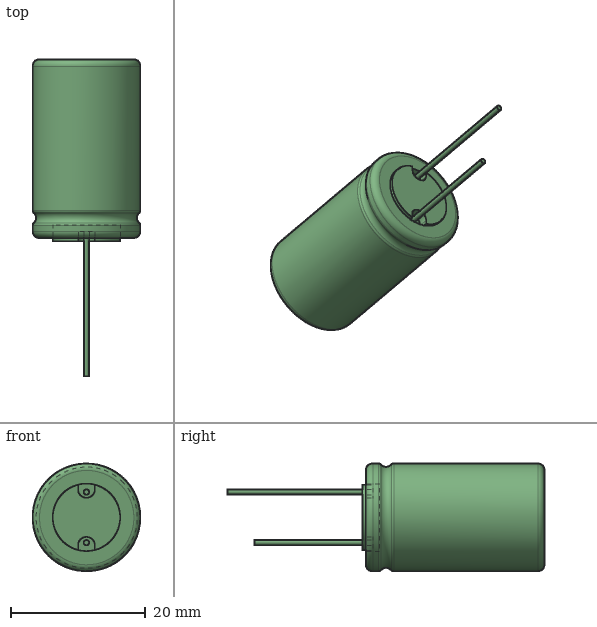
import cadquery as cq
import math


can_diameter = 16.0
overall_body_length = 27.0
plug_protrusion = 0.5
can_edge_radius = 1.0

groove_radius = 1.0
groove_lip_radius = 0.5
groove_depth = 0.5
groove_offset = 3.0

plug_diameter = 10.0
plug_length = 2.5
notch_width = 2.5
notch_floor_reach = 2.9
notch_depth = 1.5

lead_diameter = 0.8
lead_pitch = 7.5
long_lead_length = 20.0
short_lead_length = 16.0

can_radius = can_diameter / 2
can_front = plug_protrusion
can_back = overall_body_length
groove_y = can_front + groove_offset


def cylinder_along_y(diameter, y_start, y_end, z=0.0):
    """Cylinder parallel to Y between two Y positions, at height z."""
    return (
        cq.Workplane("XZ", origin=(0, y_start, z))
        .circle(diameter / 2)
        .extrude(y_start - y_end)
    )


def make_can():
    """Solid of revolution with rounded ends and a rolled groove, bored for the plug."""
    arc_spacing = groove_radius + groove_lip_radius
    slope = math.acos(1 - groove_depth / arc_spacing)
    half_width = arc_spacing * math.sin(slope)
    blend_r = can_radius - groove_lip_radius * (1 - math.cos(slope))
    blend_y = groove_radius * math.sin(slope)
    lip_mid_r = can_radius - groove_lip_radius * (1 - math.cos(slope / 2))
    lip_mid_y = half_width - groove_lip_radius * math.sin(slope / 2)

    flat_radius = can_radius - can_edge_radius
    edge_mid = can_edge_radius * (1 - math.sqrt(0.5))

    profile = (
        cq.Workplane("XY")
        .moveTo(0, can_front)
        .lineTo(flat_radius, can_front)
        .threePointArc(
            (can_radius - edge_mid, can_front + edge_mid),
            (can_radius, can_front + can_edge_radius),
        )
        .lineTo(can_radius, groove_y - half_width)
        .threePointArc((lip_mid_r, groove_y - lip_mid_y), (blend_r, groove_y - blend_y))
        .threePointArc((can_radius - groove_depth, groove_y), (blend_r, groove_y + blend_y))
        .threePointArc((lip_mid_r, groove_y + lip_mid_y), (can_radius, groove_y + half_width))
        .lineTo(can_radius, can_back - can_edge_radius)
        .threePointArc(
            (can_radius - edge_mid, can_back - edge_mid),
            (flat_radius, can_back),
        )
        .lineTo(0, can_back)
        .close()
    )
    body = profile.revolve(360, (0, 0), (0, 1))
    return body.cut(cylinder_along_y(plug_diameter, 0, plug_length))


def make_notch(side):
    """U-shaped cutter, open at the plug rim, on the +Z (side=1) or -Z (side=-1) half."""
    half_width = notch_width / 2
    arc_center = notch_floor_reach + half_width
    rim = plug_diameter / 2 + half_width
    return (
        cq.Workplane("XZ")
        .moveTo(-half_width, side * rim)
        .lineTo(-half_width, side * arc_center)
        .threePointArc((0, side * notch_floor_reach), (half_width, side * arc_center))
        .lineTo(half_width, side * rim)
        .close()
        .extrude(-notch_depth)
    )


def make_plug():
    """Sealing disc with one notch around each lead."""
    plug = cylinder_along_y(plug_diameter, 0, plug_length)
    for side in (1, -1):
        plug = plug.cut(make_notch(side))
    return plug


def make_lead(side, length):
    """Straight wire standing on the notch floor and reaching `length` beyond the plug face."""
    return cylinder_along_y(lead_diameter, -length, notch_depth, side * lead_pitch / 2)


can = make_can()
plug = make_plug()
leads = [
    make_lead(side, length)
    for side, length in ((1, long_lead_length), (-1, short_lead_length))
]

result = cq.Compound.makeCompound([can.val(), plug.val(), *[lead.val() for lead in leads]])